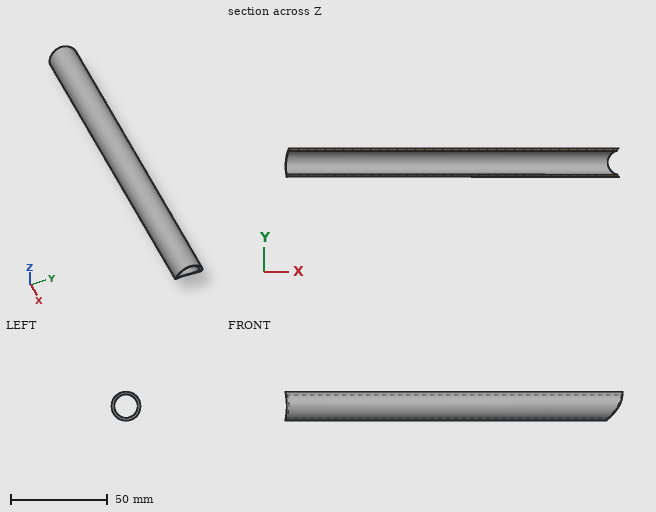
import cadquery as cq

OUTER_DIAMETER = 15.0
INNER_DIAMETER = 12.0
SADDLE_SPAN = 168.68
END_ALLOWANCE = 10.0

LEFT_MEMBER_RADIUS = 25.0
LEFT_SWING = 4.4
LEFT_SADDLE_X = 1.23

RIGHT_MEMBER_RADIUS = 15.0
RIGHT_LEAN = 29.5
RIGHT_SWAY = 0.9

MEMBER_LENGTH = 120.0

ORIGIN = (0, 0, 0)
X_AXIS = (1, 0, 0)
Y_AXIS = (0, 1, 0)
Z_AXIS = (0, 0, 1)


def tube_blank():
    """Square-ended tube with the bore right through, longer than the finished part."""
    return (
        cq.Workplane("YZ")
        .workplane(offset=LEFT_SADDLE_X - END_ALLOWANCE)
        .circle(OUTER_DIAMETER / 2)
        .circle(INNER_DIAMETER / 2)
        .extrude(SADDLE_SPAN + 2 * END_ALLOWANCE)
    )


def upright_member(radius):
    """Solid cylinder along Z, centred on the origin."""
    return cq.Workplane("XY").circle(radius).extrude(MEMBER_LENGTH / 2, both=True)


def left_member():
    """Member that the left end sits against."""
    return (
        upright_member(LEFT_MEMBER_RADIUS)
        .rotate(ORIGIN, X_AXIS, 90)
        .translate((-LEFT_MEMBER_RADIUS, 0, 0))
        .rotate(ORIGIN, Z_AXIS, -LEFT_SWING)
        .translate((LEFT_SADDLE_X, 0, 0))
    )


def right_member():
    """Member that the right end sits against."""
    return (
        upright_member(RIGHT_MEMBER_RADIUS)
        .translate((RIGHT_MEMBER_RADIUS, 0, 0))
        .rotate(ORIGIN, Y_AXIS, RIGHT_LEAN)
        .rotate(ORIGIN, Z_AXIS, RIGHT_SWAY)
        .translate((LEFT_SADDLE_X + SADDLE_SPAN, 0, 0))
    )


result = tube_blank().cut(left_member()).cut(right_member())